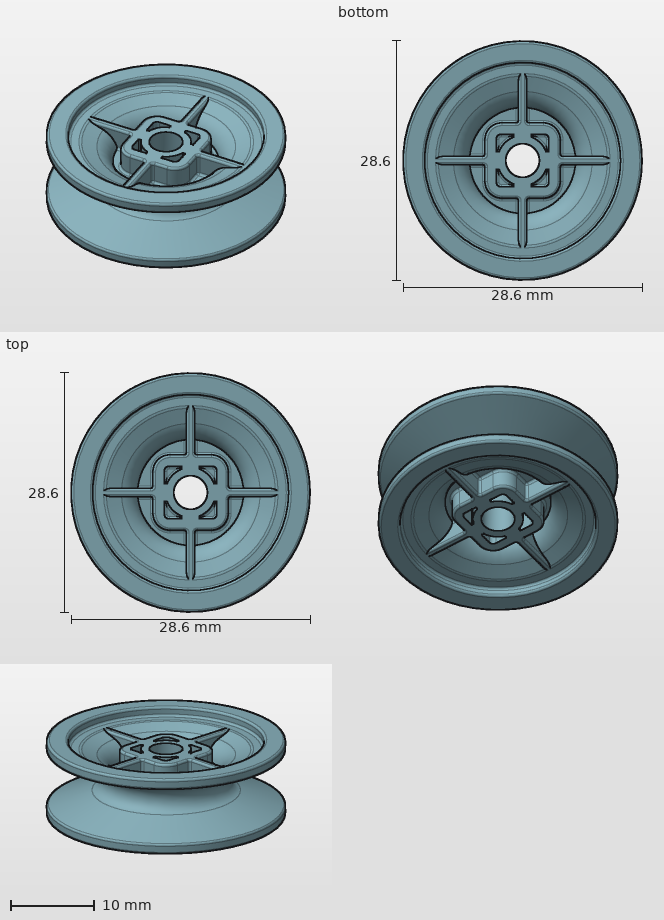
import cadquery as cq
import math

outer_radius = 14.28
width = 9.55
half_width = width / 2
bore_radius = 2.0
edge_fillet = 0.3

groove_bottom_radius = 7.7
groove_round = 1.7
groove_center = groove_bottom_radius + groove_round
flank_angle = math.radians(19)
flank_slope = math.tan(flank_angle)
tangent_angle = math.pi / 2 - flank_angle

dish_center = 9.29
dish_round = 3.05
rim_inner_radius = 11.7
ledge_depth = 1.2
ledge_height = half_width - ledge_depth
ledge_fillet = 1.0
floor_height = 0.75

hub_size = 9.0
hub_corner = 2.0
rib_width = 1.0
rib_length = 10.85

pocket_square = 6.29
pocket_corner = 0.57
pocket_gap = 2.05
sleeve_radius = 3.0
pocket_depth = ledge_height - floor_height

tolerance = 0.003


def arc_point(center, radius, angle):
    """Point (r, z) on the axis side of an arc centred on the middle plane."""
    return center - radius * math.cos(angle), radius * math.sin(angle)


groove_tangent = arc_point(groove_center, groove_round, tangent_angle)
dish_tangent = arc_point(dish_center, dish_round, tangent_angle)
rim_bottom = groove_tangent[1] + (outer_radius - groove_tangent[0]) * flank_slope
ledge_inner = dish_tangent[0] + (ledge_height - dish_tangent[1]) / flank_slope


def fillet_ring(body, radius, height, fillet_radius):
    """Round the circular edge of the given radius at the given height."""
    rings = [
        edge for edge in body.edges("%CIRCLE").vals()
        if abs(edge.radius() - radius) < tolerance
        and abs(edge.Center().z - height) < tolerance
    ]
    return body.newObject(rings).fillet(fillet_radius)


def revolve_about_axis(profile):
    return profile.revolve(360, (0, 0, 0), (0, 1, 0))


def make_dished_half():
    """Upper half of the wheel blank, dished from above."""
    floor_angle = math.asin(floor_height / dish_round)
    middle_angle = (floor_angle + tangent_angle) / 2
    profile = (
        cq.Workplane("XZ")
        .lineTo(outer_radius, 0)
        .lineTo(outer_radius, half_width)
        .lineTo(rim_inner_radius, half_width)
        .lineTo(rim_inner_radius, ledge_height)
        .lineTo(ledge_inner, ledge_height)
        .lineTo(*dish_tangent)
        .threePointArc(
            arc_point(dish_center, dish_round, middle_angle),
            arc_point(dish_center, dish_round, floor_angle),
        )
        .lineTo(0, floor_height)
        .close()
    )
    half = revolve_about_axis(profile)
    half = fillet_ring(half, outer_radius, half_width, edge_fillet)
    half = fillet_ring(half, rim_inner_radius, half_width, edge_fillet)
    half = fillet_ring(half, rim_inner_radius, ledge_height, edge_fillet)
    return fillet_ring(half, ledge_inner, ledge_height, ledge_fillet)


def make_spider():
    """Hub with four ribs, rounded in its inner corners and along its top."""
    base = cq.Workplane("XY")
    hub = base.rect(hub_size, hub_size).extrude(ledge_height).edges("|Z").fillet(hub_corner)
    rib_x = base.rect(2 * rib_length, rib_width).extrude(ledge_height)
    rib_y = base.rect(rib_width, 2 * rib_length).extrude(ledge_height)
    spider = hub.union(rib_x).union(rib_y)

    corner_distance = math.hypot(hub_size, rib_width) / 2
    corners = [
        edge for edge in spider.edges("|Z").vals()
        if abs(math.hypot(edge.Center().x, edge.Center().y) - corner_distance) < tolerance
    ]
    spider = spider.newObject(corners).fillet(edge_fillet)
    return spider.faces(">Z").edges().fillet(edge_fillet)


def fillet_spider_foot(half):
    """Round the hub and ribs into the floor, leaving the floor's outer rim sharp."""
    foot = [
        edge for edge in half.edges().vals()
        if abs(edge.Center().z - floor_height) < tolerance
        and edge.BoundingBox().zlen < tolerance
        and not (edge.geomType() == "CIRCLE" and edge.radius() > hub_corner + tolerance)
    ]
    return half.newObject(foot).fillet(edge_fillet)


def make_pockets():
    """The space of four blind corner pockets, rounded around their floors."""
    base = cq.Workplane("XY").workplane(offset=floor_height)
    block = base.rect(pocket_square, pocket_square).extrude(pocket_depth)
    block = block.edges("|Z").fillet(pocket_corner)
    block = block.faces("<Z").edges().fillet(edge_fillet)

    plate = cq.Workplane("XY").rect(hub_size, hub_size).extrude(floor_height)
    sleeve = plate.union(base.circle(sleeve_radius).extrude(pocket_depth))
    sleeve = fillet_ring(sleeve, sleeve_radius, floor_height, edge_fillet)

    cross_x = base.rect(pocket_square, pocket_gap).extrude(pocket_depth)
    cross_y = base.rect(pocket_gap, pocket_square).extrude(pocket_depth)
    return block.cut(sleeve).cut(cross_x).cut(cross_y)


def make_groove():
    """The space of the V-groove, running out past the rim."""
    reach = outer_radius + edge_fillet
    reach_height = rim_bottom + edge_fillet * flank_slope
    profile = (
        cq.Workplane("XZ")
        .moveTo(reach, -reach_height)
        .lineTo(groove_tangent[0], -groove_tangent[1])
        .threePointArc((groove_bottom_radius, 0), groove_tangent)
        .lineTo(reach, reach_height)
        .close()
    )
    return revolve_about_axis(profile)


half = make_dished_half().union(make_spider())
half = fillet_spider_foot(half)
half = half.cut(make_pockets())

wheel = half.union(half.mirror("XY"))
wheel = wheel.cut(make_groove())
for height in (rim_bottom, -rim_bottom):
    wheel = fillet_ring(wheel, outer_radius, height, edge_fillet)

bore = cq.Workplane("XY").circle(bore_radius).extrude(half_width, both=True)
result = wheel.cut(bore)